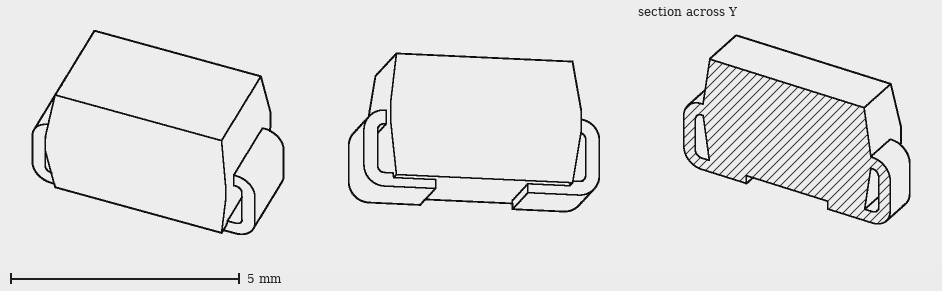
import cadquery as cq

body_length = 4.26
body_width = 2.6
body_bottom = 0.2
band_bottom = 1.355
band_top = 1.77
body_top = 2.92
taper_inset = 0.165

overall_length = 5.26
lead_width = 1.66
lead_thickness = 0.305
lead_top = 1.705
bend_radius = 0.46
pad_length = 1.6
lead_embed = 0.21


def body_section(z, inset):
    """Rectangular body outline at height z, drawn in by inset on every side."""
    return (
        cq.Workplane("XY")
        .workplane(offset=z)
        .rect(body_length - 2 * inset, body_width - 2 * inset)
    )


def tapered_half(band_z, face_z):
    """Body half that narrows from the central band to its end face."""
    return (
        body_section(band_z, 0)
        .workplane(offset=face_z - band_z)
        .rect(body_length - 2 * taper_inset, body_width - 2 * taper_inset)
        .loft(ruled=True, combine=True)
    )


def make_body():
    band = body_section(band_bottom, 0).extrude(band_top - band_bottom)
    return band.union(tapered_half(band_top, body_top)).union(tapered_half(band_bottom, body_bottom))


def make_left_lead():
    """C-shaped strip from the body end, down and under to the solder pad."""
    outer_x = -overall_length / 2
    inner_x = outer_x + lead_thickness
    pad_end_x = outer_x + pad_length
    embedded_x = -body_length / 2 + lead_embed
    profile = (
        cq.Workplane("XZ")
        .moveTo(embedded_x, lead_top)
        .lineTo(outer_x, lead_top)
        .lineTo(outer_x, 0)
        .lineTo(pad_end_x, 0)
        .lineTo(pad_end_x, lead_thickness)
        .lineTo(inner_x, lead_thickness)
        .lineTo(inner_x, lead_top - lead_thickness)
        .lineTo(embedded_x, lead_top - lead_thickness)
        .close()
    )
    strip = profile.extrude(lead_width / 2, both=True)
    strip = strip.edges("|Y and <X").fillet(bend_radius)
    inner_corners = cq.selectors.BoxSelector(
        (inner_x - 0.05, -lead_width, lead_thickness - 0.05),
        (inner_x + 0.05, lead_width, lead_top - lead_thickness + 0.05),
    )
    return strip.edges("|Y").edges(inner_corners).fillet(bend_radius - lead_thickness)


left_lead = make_left_lead()
right_lead = left_lead.mirror("YZ")
result = make_body().union(left_lead).union(right_lead)